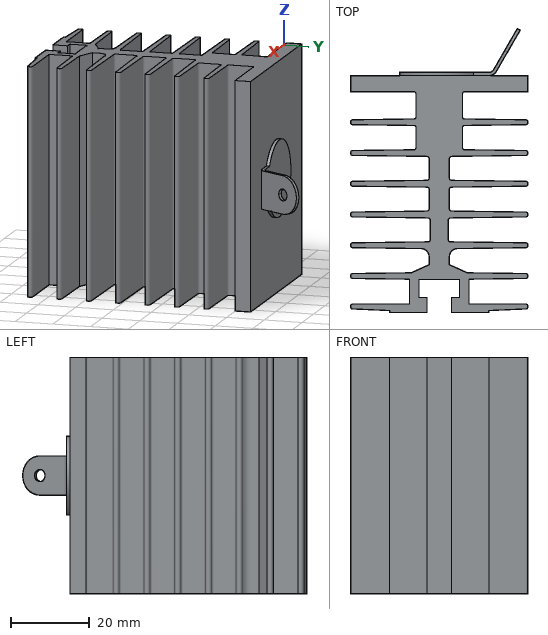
import cadquery as cq
import math


WIDTH = 45.0
DEPTH = 60.1
TOTAL_DEPTH = 72.1
HEIGHT = 60.0
PLATE_THICKNESS = 4.1
HALF_WIDTH = WIDTH / 2

FIN_COUNT = 6
FIRST_FIN_DEPTH = 11.8
LAST_FIN_DEPTH = 50.8
FIN_PITCH = (LAST_FIN_DEPTH - FIRST_FIN_DEPTH) / (FIN_COUNT - 1)
FIN_TIP_THICKNESS = 1.3
FIN_ROOT_THICKNESS = 1.8
FIN_TIP_RADIUS = 0.6
FIN_DEPTHS = [FIRST_FIN_DEPTH + i * FIN_PITCH for i in range(FIN_COUNT)]

WIDE_SPINE = 11.8
MIDDLE_SPINE = 5.2
NARROW_SPINE = 4.6
ROOT_RADIUS = 0.5
LARGE_ROOT_RADIUS = 2.0
CORNER_REACH = 0.1

RAMP_START_DEPTH = 47.9
RAMP_RUN = 4.75
RAMP_DROP = 2.15

CHANNEL_OUTER_WIDTH = 15.15
CHANNEL_INNER_WIDTH = 10.15
MOUTH_WIDTH = 6.2
LIP_THICKNESS = 3.9
FOOT_WIDTH = 25.2
END_FIN_TOP_DEPTH = 57.9
END_FIN_ROOT_THICKNESS = 1.7
CHANNEL_TOP_DEPTH = FIN_DEPTHS[-1] + FIN_ROOT_THICKNESS / 2

SHEET_THICKNESS = 0.9
WASHER_DIAMETER = 20.05
TAB_WIDTH = 10.0
TAB_HOLE_DIAMETER = 3.0
BEND_START_X = 12.7
BEND_INNER_RADIUS = 1.2
BEND_ANGLE = 60.0
TERMINAL_RISE = TOTAL_DEPTH - DEPTH


def bar(width, near_depth, far_depth):
    """Full-height bar centred on X = 0 between two depths below the mounting face."""
    return cq.Workplane("XY").box(width, far_depth - near_depth, HEIGHT).translate(
        (0, -(near_depth + far_depth) / 2, 0)
    )


def prism(points):
    """Full-height prism over a closed XY outline."""
    return cq.Workplane("XY").polyline(points).close().extrude(HEIGHT / 2, both=True)


def rounded_tips(fins):
    """Round the vertical edges at both outer ends of a fin pair."""
    return fins.faces("<X or >X").edges("|Z").fillet(FIN_TIP_RADIUS)


def fin_pair(depth):
    """One fin on each side, tapering from the middle of the spine to both tips."""
    root_x = MIDDLE_SPINE / 2
    root = FIN_ROOT_THICKNESS / 2
    tip = FIN_TIP_THICKNESS / 2
    outline = [
        (-HALF_WIDTH, tip - depth),
        (-root_x, root - depth),
        (root_x, root - depth),
        (HALF_WIDTH, tip - depth),
        (HALF_WIDTH, -tip - depth),
        (root_x, -root - depth),
        (-root_x, -root - depth),
        (-HALF_WIDTH, -tip - depth),
    ]
    return rounded_tips(prism(outline))


def end_fin_pair():
    """Last fins: flat on the plate side, tapered on the -Y side."""
    top = -END_FIN_TOP_DEPTH
    root_x = FOOT_WIDTH / 2
    outline = [
        (-HALF_WIDTH, top),
        (HALF_WIDTH, top),
        (HALF_WIDTH, top - FIN_TIP_THICKNESS),
        (root_x, top - END_FIN_ROOT_THICKNESS),
        (-root_x, top - END_FIN_ROOT_THICKNESS),
        (-HALF_WIDTH, top - FIN_TIP_THICKNESS),
    ]
    return rounded_tips(prism(outline))


def spine():
    """Stepped centre web with ramps at its -Y end."""
    wide = bar(WIDE_SPINE, PLATE_THICKNESS / 2, FIN_DEPTHS[1])
    middle = bar(MIDDLE_SPINE, FIN_DEPTHS[1], FIN_DEPTHS[3])
    narrow = bar(NARROW_SPINE, FIN_DEPTHS[3], FIN_DEPTHS[4])
    last = bar(MIDDLE_SPINE, FIN_DEPTHS[4], FIN_DEPTHS[5])
    ramp_top_x = MIDDLE_SPINE / 2
    ramp_foot_x = ramp_top_x + RAMP_RUN
    ramp_foot_y = -(RAMP_START_DEPTH + RAMP_DROP)
    ramps = prism([
        (-ramp_top_x, -RAMP_START_DEPTH),
        (ramp_top_x, -RAMP_START_DEPTH),
        (ramp_foot_x, ramp_foot_y),
        (ramp_foot_x, -FIN_DEPTHS[5]),
        (-ramp_foot_x, -FIN_DEPTHS[5]),
        (-ramp_foot_x, ramp_foot_y),
    ])
    return wide.union(middle).union(narrow).union(last).union(ramps)


def round_roots(body, spine_width, near_depth, far_depth, radius):
    """Fillet the spine corners whose depth lies between the two given depths."""
    for side in (-1, 1):
        x = side * spine_width / 2
        corner = cq.selectors.BoxSelector(
            (x - CORNER_REACH, -far_depth, -HEIGHT), (x + CORNER_REACH, -near_depth, HEIGHT)
        )
        body = body.edges("|Z").edges(corner).fillet(radius)
    return body


def make_heat_sink():
    body = bar(WIDTH, 0, PLATE_THICKNESS).union(spine())
    for depth in FIN_DEPTHS:
        body = body.union(fin_pair(depth))

    body = body.union(bar(CHANNEL_OUTER_WIDTH, FIN_DEPTHS[-1], DEPTH))
    body = body.union(end_fin_pair())
    body = body.union(bar(FOOT_WIDTH, END_FIN_TOP_DEPTH, DEPTH))
    body = body.cut(bar(CHANNEL_INNER_WIDTH, CHANNEL_TOP_DEPTH, DEPTH - LIP_THICKNESS))
    body = body.cut(bar(MOUTH_WIDTH, CHANNEL_TOP_DEPTH, DEPTH))

    body = round_roots(body, WIDE_SPINE, 0, FIN_DEPTHS[1], ROOT_RADIUS)
    body = round_roots(body, MIDDLE_SPINE, FIN_DEPTHS[1], FIN_DEPTHS[3], ROOT_RADIUS)
    body = round_roots(body, NARROW_SPINE, FIN_DEPTHS[3], FIN_DEPTHS[4], ROOT_RADIUS)
    above_ramps = RAMP_START_DEPTH - LARGE_ROOT_RADIUS
    return round_roots(body, MIDDLE_SPINE, FIN_DEPTHS[4], above_ramps, LARGE_ROOT_RADIUS)


def make_terminal():
    bend = math.radians(BEND_ANGLE)
    outer_radius = BEND_INNER_RADIUS + SHEET_THICKNESS

    def bend_point(radius, angle):
        """Point on the bend, swept by an angle from the flat part."""
        return (BEND_START_X + radius * math.sin(angle), outer_radius - radius * math.cos(angle))

    inner_end = bend_point(BEND_INNER_RADIUS, bend)
    outer_end = bend_point(outer_radius, bend)
    slant = (TERMINAL_RISE - inner_end[1]) / math.sin(bend)
    run = slant * math.cos(bend)
    rise = slant * math.sin(bend)

    tab = (
        cq.Workplane("XY")
        .moveTo(0, 0)
        .lineTo(BEND_START_X, 0)
        .threePointArc(bend_point(outer_radius, bend / 2), outer_end)
        .lineTo(outer_end[0] + run, outer_end[1] + rise)
        .lineTo(inner_end[0] + run, inner_end[1] + rise)
        .lineTo(*inner_end)
        .threePointArc(bend_point(BEND_INNER_RADIUS, bend / 2), (BEND_START_X, SHEET_THICKNESS))
        .lineTo(0, SHEET_THICKNESS)
        .close()
        .extrude(TAB_WIDTH / 2, both=True)
    )

    tip_radius = TAB_WIDTH / 2
    along_tab = cq.Vector(math.cos(bend), math.sin(bend), 0)
    tip_center = cq.Vector(*outer_end, 0) + along_tab * (slant - tip_radius)
    across_sheet = cq.Vector(-math.sin(bend), math.cos(bend), 0)
    slanted = cq.Workplane(cq.Plane(tip_center, along_tab, across_sheet))
    square_end = slanted.center(tip_radius / 2, 0).rect(tip_radius, TAB_WIDTH).extrude(SHEET_THICKNESS)
    round_end = slanted.circle(tip_radius).extrude(SHEET_THICKNESS)
    hole = slanted.circle(TAB_HOLE_DIAMETER / 2).extrude(SHEET_THICKNESS)
    tab = tab.cut(square_end.cut(round_end)).cut(hole)

    washer = cq.Workplane("XZ").circle(WASHER_DIAMETER / 2).extrude(-SHEET_THICKNESS)
    return washer.union(tab)


heat_sink = make_heat_sink()
terminal = make_terminal()
result = cq.Compound.makeCompound([heat_sink.val(), terminal.val()])